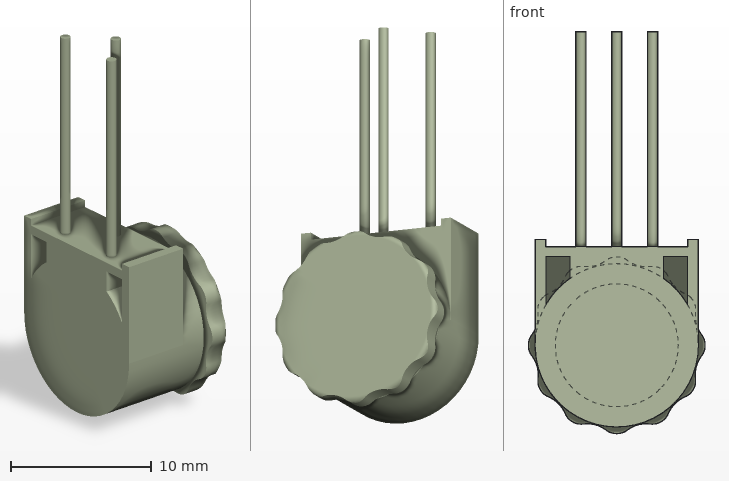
import cadquery as cq
import math


body_radius = 5.8
block_depth = 5.0
body_depth = 6.9
wall_top = 7.5
floor_top = 7.0
wall_thickness = 0.77
inner_half_width = body_radius - wall_thickness

pocket_top = 6.3
pocket_inner_x = 3.3
pocket_depth = block_depth - wall_thickness

pin_diameter = 0.75
pin_pitch = 2.55
pin_tip = 22.28
front_pin_y = 1.09

knob_radius = 6.28
knob_back = 8.77
knob_thickness = 1.45
knob_front = knob_back - knob_thickness
neck_radius = 4.37
rim_fillet = 0.4
lobe_count = 12
trough_radius = 5.85
blend_radius = 6.08
crest_half_angle = 7.0


def disc(radius, front, back):
    """Round disc about the Y axis between two Y positions."""
    return cq.Workplane("XZ", origin=(0, front, 0)).circle(radius).extrude(front - back)


def make_block():
    """Square upper block with a raised wall along each side of its top."""
    block_outline = [
        (-body_radius, 0),
        (body_radius, 0),
        (body_radius, wall_top),
        (inner_half_width, wall_top),
        (inner_half_width, floor_top),
        (-inner_half_width, floor_top),
        (-inner_half_width, wall_top),
        (-body_radius, wall_top),
    ]
    return cq.Workplane("XZ").polyline(block_outline).close().extrude(-block_depth)


def make_pocket(side):
    """Blind corner recess in the front face, bounded below by the round body."""
    pocket_width = inner_half_width - pocket_inner_x
    recess = (
        cq.Workplane("XZ")
        .center(side * (pocket_inner_x + pocket_width / 2), pocket_top / 2)
        .rect(pocket_width, pocket_top)
        .extrude(-pocket_depth)
    )
    return recess.cut(disc(body_radius, 0, body_depth))


def make_pins():
    """Two front pins and one pin behind them, standing on the block floor."""
    pin_places = [
        (-pin_pitch, front_pin_y),
        (0, front_pin_y + pin_pitch),
        (pin_pitch, front_pin_y),
    ]
    return (
        cq.Workplane("XY", origin=(0, 0, floor_top))
        .pushPoints(pin_places)
        .circle(pin_diameter / 2)
        .extrude(pin_tip - floor_top)
    )


def make_housing():
    """Round body, upper block and fixed pins as one solid."""
    housing = disc(body_radius, 0, body_depth).union(make_block())
    for side in (-1, 1):
        housing = housing.cut(make_pocket(side))
    return housing.union(make_pins())


def polar(radius, degrees):
    """Point in the XZ plane at a radius and angle about the knob axis."""
    angle = math.radians(degrees)
    return (radius * math.cos(angle), radius * math.sin(angle))


def make_knob():
    """Lobed thumb wheel with a rounded rear rim and a plain neck."""
    lobe_pitch = 360 / lobe_count
    outline = cq.Workplane("XZ", origin=(0, knob_front, 0))
    outline = outline.moveTo(*polar(blend_radius, -crest_half_angle))
    for lobe in range(lobe_count):
        middle = lobe * lobe_pitch
        crest_end = polar(blend_radius, middle + crest_half_angle)
        trough_end = polar(blend_radius, middle + lobe_pitch - crest_half_angle)
        outline = outline.threePointArc(polar(knob_radius, middle), crest_end)
        outline = outline.threePointArc(polar(trough_radius, middle + lobe_pitch / 2), trough_end)
    wheel = outline.close().extrude(-knob_thickness)

    rounded_disc = disc(knob_radius, knob_front, knob_back).faces(">Y").edges().fillet(rim_fillet)
    neck = disc(neck_radius, body_depth, knob_front)
    return wheel.intersect(rounded_disc).union(neck)


housing = make_housing()
knob = make_knob()
result = cq.Compound.makeCompound([housing.solids().val(), knob.solids().val()])